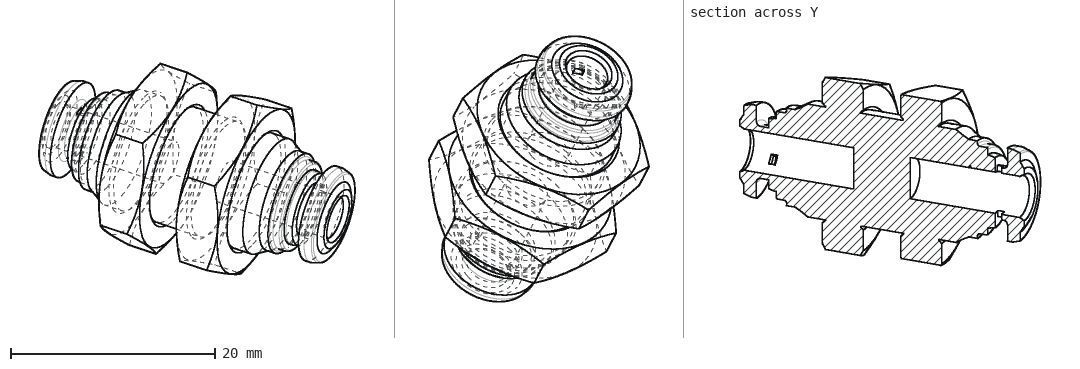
import cadquery as cq
import math

LENGTH = 31.0
MIDDLE = LENGTH / 2

NOSE_TIP_RADIUS = 3.05
NOSE_BASE_RADIUS = 3.7
FLANGE_FRONT = 0.43
FLANGE_TAPER_END = 1.27
FLANGE_BACK = 1.85
FLANGE_FRONT_RADIUS = 4.68
FLANGE_FILLET = 0.15
FLANGE_RADIUS = 4.9
NECK_RADIUS = 2.75
NECK_FILLET = 0.43

COLLAR_FRONT = 3.15
COLLAR_TAPER_END = 3.78
COLLAR_FRONT_RADIUS = 3.7
COLLAR_RADIUS = 3.85

RING_FRONT = 3.97
RING_RADIUS = 4.62
RING_FILLET = 0.2
STEP_FRONT = 5.08
STEP_BACK = 6.05
STEP_RADIUS = 5.15
STEP_FILLET = 0.25
BODY_RADIUS = 5.95
CONE_ANGLE = 30.0
CONE_LENGTH = (BODY_RADIUS - STEP_RADIUS) / math.tan(math.radians(CONE_ANGLE))

BORE_RADIUS = 2.15
BORE_MOUTH_RADIUS = 2.42
BORE_MOUTH_DEPTH = 0.5
BORE_DEPTH = 12.4

SLOT_FRONT = 2.48
SLOT_WIDTH = 1.0
LEFT_SLOT_ANGLE = 88.0
RIGHT_SLOT_ANGLE = 36.0

NUT_ACROSS_FLATS = 17.0
NUT_CORNER_RADIUS = NUT_ACROSS_FLATS / math.sqrt(3)
NUT_WIDTH = 4.5
NUT_OFFSET = 9.0
NUT_FACE_RADIUS = 8.45
NUT_CHAMFER_ANGLE = 30.0
NUT_MOUTH_RADIUS = 6.3
LEFT_NUT_ANGLE = 9.8
RIGHT_NUT_ANGLE = 20.0


def revolve_about_x(profile):
    return profile.close().revolve(360, (0, 0, 0), (1, 0, 0))


def turn_about_x(shape, angle):
    return shape.rotate((0, 0, 0), (1, 0, 0), angle)


def fitting_half():
    """Left half of the round part of the fitting, with its bore."""
    profile = (
        cq.Workplane("XY")
        .moveTo(0, BORE_MOUTH_RADIUS)
        .lineTo(0, NOSE_TIP_RADIUS)
        .lineTo(FLANGE_FRONT, NOSE_BASE_RADIUS)
        .lineTo(FLANGE_FRONT, FLANGE_FRONT_RADIUS - FLANGE_FILLET)
        .tangentArcPoint((FLANGE_FRONT + FLANGE_FILLET, FLANGE_FRONT_RADIUS), relative=False)
        .lineTo(FLANGE_TAPER_END, FLANGE_RADIUS)
        .lineTo(FLANGE_BACK, FLANGE_RADIUS)
        .lineTo(FLANGE_BACK, NECK_RADIUS + NECK_FILLET)
        .tangentArcPoint((FLANGE_BACK + NECK_FILLET, NECK_RADIUS), relative=False)
        .lineTo(COLLAR_FRONT, NECK_RADIUS)
        .lineTo(COLLAR_FRONT, COLLAR_FRONT_RADIUS)
        .lineTo(COLLAR_TAPER_END, COLLAR_RADIUS)
        .lineTo(RING_FRONT, COLLAR_RADIUS)
        .lineTo(RING_FRONT, RING_RADIUS - RING_FILLET)
        .tangentArcPoint((RING_FRONT + RING_FILLET, RING_RADIUS), relative=False)
        .lineTo(STEP_FRONT - STEP_FILLET, RING_RADIUS)
        .tangentArcPoint((STEP_FRONT, RING_RADIUS + STEP_FILLET), relative=False)
        .lineTo(STEP_FRONT, STEP_RADIUS)
        .lineTo(STEP_BACK, STEP_RADIUS)
        .lineTo(STEP_BACK + CONE_LENGTH, BODY_RADIUS)
        .lineTo(MIDDLE, BODY_RADIUS)
        .lineTo(MIDDLE, 0)
        .lineTo(BORE_DEPTH, 0)
        .lineTo(BORE_DEPTH, BORE_RADIUS)
        .lineTo(BORE_MOUTH_DEPTH, BORE_RADIUS)
    )
    return revolve_about_x(profile)


def neck_slot(angle):
    """Cutter that opens both sides of the left neck along the given direction."""
    slot = cq.Workplane("XY").box(
        COLLAR_FRONT - SLOT_FRONT, 2 * FLANGE_RADIUS, SLOT_WIDTH, centered=(False, True, True)
    ).translate((SLOT_FRONT, 0, 0))
    return turn_about_x(slot, angle)


def mirror_to_right(shape):
    return shape.mirror("YZ", (MIDDLE, 0, 0))


def nut(angle):
    """Left nut with conically chamfered corners and a countersunk bore."""
    hexagon = (
        cq.Workplane("YZ", origin=(NUT_OFFSET, 0, 0))
        .polygon(6, 2 * NUT_CORNER_RADIUS)
        .extrude(NUT_WIDTH)
    )
    far_face = NUT_OFFSET + NUT_WIDTH
    chamfer_depth = (NUT_CORNER_RADIUS - NUT_FACE_RADIUS) * math.tan(math.radians(NUT_CHAMFER_ANGLE))
    corner_limit = revolve_about_x(
        cq.Workplane("XY")
        .moveTo(NUT_OFFSET, 0)
        .lineTo(NUT_OFFSET, NUT_FACE_RADIUS)
        .lineTo(NUT_OFFSET + chamfer_depth, NUT_CORNER_RADIUS)
        .lineTo(far_face - chamfer_depth, NUT_CORNER_RADIUS)
        .lineTo(far_face, NUT_FACE_RADIUS)
        .lineTo(far_face, 0)
    )
    mouth_depth = NUT_MOUTH_RADIUS - BODY_RADIUS
    bore = revolve_about_x(
        cq.Workplane("XY")
        .moveTo(NUT_OFFSET, 0)
        .lineTo(NUT_OFFSET, NUT_MOUTH_RADIUS)
        .lineTo(NUT_OFFSET + mouth_depth, BODY_RADIUS)
        .lineTo(far_face - mouth_depth, BODY_RADIUS)
        .lineTo(far_face, NUT_MOUTH_RADIUS)
        .lineTo(far_face, 0)
    )
    return turn_about_x(hexagon.intersect(corner_limit).cut(bore), angle)


left_half = fitting_half().cut(neck_slot(LEFT_SLOT_ANGLE)).union(nut(LEFT_NUT_ANGLE))
right_half = fitting_half().cut(neck_slot(RIGHT_SLOT_ANGLE)).union(nut(RIGHT_NUT_ANGLE))
result = left_half.union(mirror_to_right(right_half))